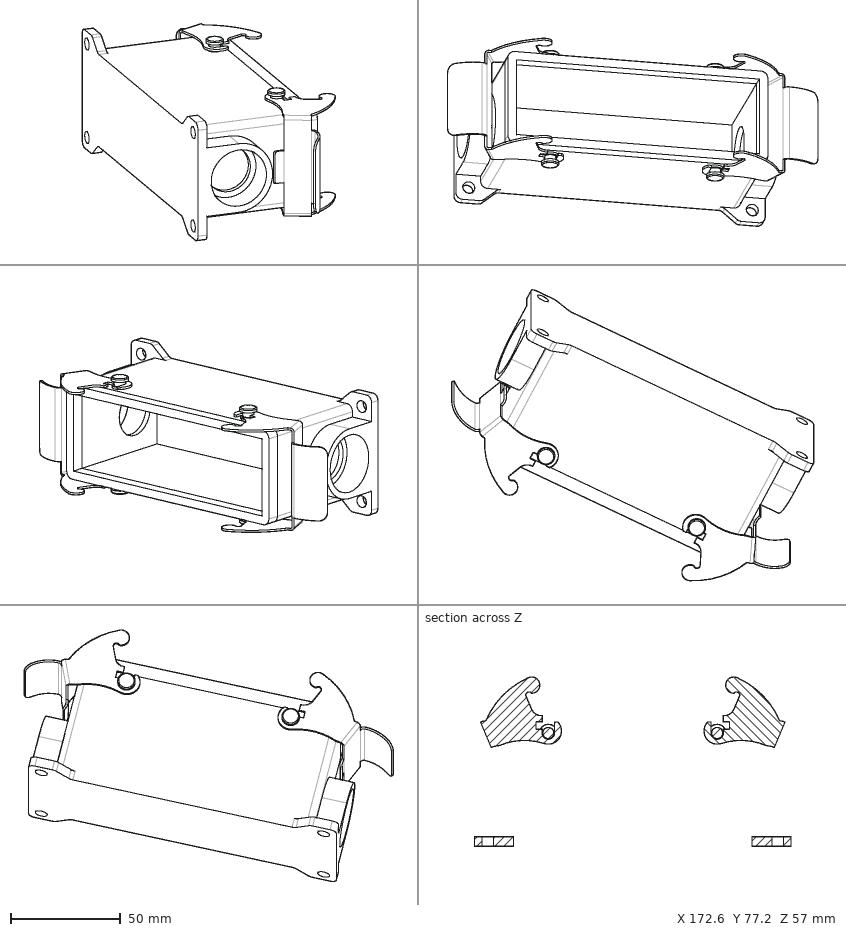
import cadquery as cq
import math


BODY_LENGTH = 121.0
BODY_WIDTH = 44.5
BODY_CORNER = 3.25
BODY_TOP = 57.0
FRAME_TOP = 63.0
WALL = 4.0
CAVITY_LENGTH = BODY_LENGTH - 2 * WALL
CAVITY_WIDTH = BODY_WIDTH - 2 * WALL

FLANGE_LENGTH = 144.0
FLANGE_WIDTH = 57.0
FLANGE_THICKNESS = 4.5
FLANGE_ROUND = 3.0
EAR_TIP_X = 59.8
EAR_ROOT_X = 52.3
MOUNT_PITCH_X = 132.0
MOUNT_PITCH_Z = 45.0
MOUNT_HOLE = 5.5

ENTRY_Y = 20.0
ENTRY_RADIUS = 16.5
ENTRY_BORE = 27.0
ENTRY_BORE_DEPTH = 13.0
ENTRY_HOLE = 21.5

STUD_X = 38.4
STUD_Y = 51.6
COLLAR_DIAMETER = 7.0
NECK_DIAMETER = 5.17
HEAD_DIAMETER = 8.0
HEAD_CHAMFER = 0.5
HEAD_BOTTOM = 25.75
HEAD_TOP = 27.4

SHEET = 1.0
LEVER_WIDTH = 48.5
LEVER_OUTER_Z = LEVER_WIDTH / 2
LEVER_INNER_Z = LEVER_OUTER_Z - SHEET
BEND_RADIUS = 1.75
PIVOT_SLOT = 5.5

WEB_LEAN = 22.8
WEB_LENGTH = 12.6
LEAN = math.radians(WEB_LEAN)
WEB_FOOT = (-63.4, 45.4)
WEB_HEAD = (WEB_FOOT[0] - WEB_LENGTH * math.sin(LEAN), WEB_FOOT[1] + WEB_LENGTH * math.cos(LEAN))

GRIP_WIDTH = 35.0
GRIP_CORNER = 4.0
GRIP_BEND_RADIUS = 2.3
GRIP_BEND_ANGLE = 67.0
GRIP_ARC_RADIUS = 19.29
GRIP_ARC_ANGLE = 48.0
TAB_WIDTH = 15.4
TAB_CORNER = 1.0
TAB_ARC_RADIUS = 5.2
TAB_ARC_ANGLE = 55.0

HOOK_CENTER = (-46.0, 73.4)
HOOK_RADIUS = 3.75
HOOK_BACK_ANGLE = 120.0
BACK_START = (WEB_HEAD[0] + 1.4, WEB_HEAD[1] + 0.2)
BACK_MIDDLE = (-59.5, 68.4)
THROAT_MIDDLE = (-48.3, 69.7)
THROAT_END = (-48.6, 68.6)
NECK_CURVE = [(-46.3, 63.2), (-44.8, 60.8), (-42.4, 59.6)]
LOWER_CURVE = [(-60.6, 45.9), (-52.5, 48.0), (-44.0, 47.7)]
LUG_RADIUS = 6.0
LUG_CENTER = (-STUD_X, STUD_Y + 0.9)
LUG_START_ANGLE = -105.0
LUG_TOP = 56.7
SLOT_LEFT = -STUD_X - PIVOT_SLOT / 2
RELIEF_LENGTH = 2.8
RELIEF_BOTTOM = 53.4


def plan(y):
    """Workplane normal to +Y at height y; its local axes are X and -Z."""
    return cq.Workplane("XZ", origin=(0, y, 0)).transformed(rotate=(180, 0, 0))


def rounded_tube(bottom, top):
    """Rectangular tube with the outline and cavity of the housing."""
    outer = plan(bottom).rect(BODY_LENGTH, BODY_WIDTH).extrude(top - bottom)
    outer = outer.edges("|Y").fillet(BODY_CORNER)
    cavity = plan(bottom).rect(CAVITY_LENGTH, CAVITY_WIDTH).extrude(top - bottom)
    return outer.cut(cavity)


def flange():
    half_length = FLANGE_LENGTH / 2
    half_width = FLANGE_WIDTH / 2
    waist = BODY_WIDTH / 2
    quarter = [
        (half_length, half_width),
        (EAR_TIP_X, half_width),
        (EAR_ROOT_X, waist),
    ]
    upper = quarter + [(-x, z) for x, z in reversed(quarter)]
    lower = [(-x, -z) for x, z in upper]
    plate = plan(0).polyline(upper + lower).close().extrude(FLANGE_THICKNESS)
    plate = plate.edges("|Y").fillet(FLANGE_ROUND)
    holes = plan(0).rect(MOUNT_PITCH_X, MOUNT_PITCH_Z, forConstruction=True).vertices()
    return plate.cut(holes.circle(MOUNT_HOLE / 2).extrude(FLANGE_THICKNESS))


def entry_boss():
    """U-shaped boss from the end wall at +X, standing on the flange."""
    length = (FLANGE_LENGTH - BODY_LENGTH) / 2 + WALL
    start = FLANGE_LENGTH / 2 - length
    plane = cq.Workplane("YZ", origin=(start, ENTRY_Y, 0))
    return (
        plane.moveTo(-ENTRY_Y, -ENTRY_RADIUS)
        .lineTo(0, -ENTRY_RADIUS)
        .threePointArc((ENTRY_RADIUS, 0), (0, ENTRY_RADIUS))
        .lineTo(-ENTRY_Y, ENTRY_RADIUS)
        .close()
        .extrude(length)
    )


def entry_bore():
    """Stepped passage through the boss at +X into the cavity."""
    plane = cq.Workplane("YZ", origin=(FLANGE_LENGTH / 2, ENTRY_Y, 0))
    bore = plane.circle(ENTRY_BORE / 2).extrude(-ENTRY_BORE_DEPTH)
    passage = plane.circle(ENTRY_HOLE / 2).extrude(CAVITY_LENGTH / 2 - FLANGE_LENGTH / 2)
    return bore.union(passage)


def stud():
    """Pivot stud on the +Z wall at -X."""
    wall = BODY_WIDTH / 2
    base = cq.Workplane("XY", origin=(-STUD_X, STUD_Y, wall))
    collar = base.circle(COLLAR_DIAMETER / 2).extrude(LEVER_INNER_Z - wall)
    neck = base.circle(NECK_DIAMETER / 2).extrude(HEAD_BOTTOM - wall)
    head = (
        base.workplane(offset=HEAD_BOTTOM - wall)
        .circle(HEAD_DIAMETER / 2)
        .extrude(HEAD_TOP - HEAD_BOTTOM)
        .faces(">Z")
        .chamfer(HEAD_CHAMFER)
    )
    return collar.union(neck).union(head)


def make_housing():
    body = rounded_tube(FLANGE_THICKNESS, BODY_TOP)
    floor = plan(0).rect(CAVITY_LENGTH, CAVITY_WIDTH).extrude(FLANGE_THICKNESS)
    body = body.union(flange()).union(floor)
    boss = entry_boss()
    body = body.union(boss).union(boss.mirror("YZ"))
    bore = entry_bore()
    body = body.cut(bore).cut(bore.mirror("YZ"))
    left_studs = stud().union(stud().mirror("XY"))
    return body.union(left_studs).union(left_studs.mirror("YZ"))


def make_frame():
    return rounded_tube(BODY_TOP, FRAME_TOP)


def point_on_circle(center, radius, degrees):
    angle = math.radians(degrees)
    return center[0] + radius * math.cos(angle), center[1] + radius * math.sin(angle)


def strip_bend(center, radius, start_angle, end_angle, width):
    """One bend of a sheet strip, centered on Z = 0; radius is to mid-thickness."""
    inner = radius - SHEET / 2
    outer = radius + SHEET / 2
    middle_angle = (start_angle + end_angle) / 2
    return (
        cq.Workplane("XY")
        .moveTo(*point_on_circle(center, inner, start_angle))
        .threePointArc(
            point_on_circle(center, inner, middle_angle),
            point_on_circle(center, inner, end_angle),
        )
        .lineTo(*point_on_circle(center, outer, end_angle))
        .threePointArc(
            point_on_circle(center, outer, middle_angle),
            point_on_circle(center, outer, start_angle),
        )
        .close()
        .extrude(width / 2, both=True)
    )


def bent_strip(start, heading, bends, width, corner):
    """Sheet strip of consecutive bends with rounded free corners.

    start is a point at mid-thickness and heading its direction in degrees; each
    bend is (radius, turn angle), with left turns positive.
    """
    tip = start
    pieces = []
    for radius, turn in bends:
        to_center = heading + math.copysign(90, turn)
        center = point_on_circle(tip, radius, to_center)
        start_angle = to_center + 180
        pieces.append(strip_bend(center, radius, start_angle, start_angle + turn, width))
        tip = point_on_circle(center, radius, start_angle + turn)
        heading += turn
    strip = pieces[0]
    for piece in pieces[1:]:
        strip = strip.union(piece)
    for z in (-width / 2, width / 2):
        free_corner = cq.selectors.NearestToPointSelector((*tip, z))
        strip = strip.edges(free_corner).fillet(corner)
    return strip


def hook_outline():
    """Closed outline of the hook plate, from the web foot around to the web head."""
    lug_top_angle = math.degrees(math.asin((LUG_TOP - LUG_CENTER[1]) / LUG_RADIUS))
    lug_tip = point_on_circle(LUG_CENTER, LUG_RADIUS, lug_top_angle)
    lug_middle = point_on_circle(LUG_CENTER, LUG_RADIUS, (LUG_START_ANGLE + lug_top_angle) / 2)
    return (
        cq.Workplane("XY", origin=(0, 0, LEVER_INNER_Z))
        .moveTo(*WEB_FOOT)
        .lineTo(*LOWER_CURVE[0])
        .threePointArc(*LOWER_CURVE[1:])
        .lineTo(*point_on_circle(LUG_CENTER, LUG_RADIUS, LUG_START_ANGLE))
        .threePointArc(lug_middle, lug_tip)
        .lineTo(SLOT_LEFT, LUG_TOP)
        .lineTo(SLOT_LEFT, NECK_CURVE[2][1])
        .lineTo(*NECK_CURVE[2])
        .threePointArc(NECK_CURVE[1], NECK_CURVE[0])
        .lineTo(*THROAT_END)
        .threePointArc(THROAT_MIDDLE, point_on_circle(HOOK_CENTER, HOOK_RADIUS, -90))
        .threePointArc(
            point_on_circle(HOOK_CENTER, HOOK_RADIUS, 0),
            point_on_circle(HOOK_CENTER, HOOK_RADIUS, HOOK_BACK_ANGLE),
        )
        .threePointArc(BACK_MIDDLE, BACK_START)
        .lineTo(*WEB_HEAD)
        .close()
    )


def pivot_slot():
    """Round-bottomed slot, open at the lug top, with the relief at its side."""
    half_slot = PIVOT_SLOT / 2
    relief_left = SLOT_LEFT - RELIEF_LENGTH
    slot = (
        cq.Workplane("XY", origin=(0, 0, LEVER_INNER_Z))
        .moveTo(SLOT_LEFT, STUD_Y)
        .threePointArc((-STUD_X, STUD_Y - half_slot), (-STUD_X + half_slot, STUD_Y))
        .lineTo(-STUD_X + half_slot, LUG_TOP)
        .lineTo(relief_left, LUG_TOP)
        .lineTo(relief_left, RELIEF_BOTTOM)
        .lineTo(SLOT_LEFT, RELIEF_BOTTOM)
        .close()
    )
    return slot.extrude(SHEET)


def hook_plate():
    """Flat side plate of the lever at +Z."""
    return hook_outline().extrude(SHEET).cut(pivot_slot())


def web():
    """U-shaped channel whose bent edges end at the bend lines of the hook plates."""
    inner_radius = BEND_RADIUS - SHEET
    flat_edge = LEVER_OUTER_Z - BEND_RADIUS
    channel = (
        plan(0)
        .moveTo(0, LEVER_OUTER_Z)
        .radiusArc((-BEND_RADIUS, flat_edge), -BEND_RADIUS)
        .lineTo(-BEND_RADIUS, -flat_edge)
        .radiusArc((0, -LEVER_OUTER_Z), -BEND_RADIUS)
        .lineTo(0, -LEVER_INNER_Z)
        .radiusArc((-inner_radius, -flat_edge), inner_radius)
        .lineTo(-inner_radius, flat_edge)
        .radiusArc((0, LEVER_INNER_Z), inner_radius)
        .close()
        .extrude(WEB_LENGTH)
    )
    return channel.rotate((0, 0, 0), (0, 0, 1), WEB_LEAN).translate((*WEB_FOOT, 0))


def make_lever():
    """Lever on the -X side."""
    inset = BEND_RADIUS - SHEET / 2
    foot = point_on_circle(WEB_FOOT, inset, 180 + WEB_LEAN)
    head = point_on_circle(WEB_HEAD, inset, 180 + WEB_LEAN)
    grip_bends = [(GRIP_BEND_RADIUS, GRIP_BEND_ANGLE), (GRIP_ARC_RADIUS, GRIP_ARC_ANGLE)]
    tab_bends = [(TAB_ARC_RADIUS, -TAB_ARC_ANGLE)]
    grip = bent_strip(head, WEB_LEAN + 90, grip_bends, GRIP_WIDTH, GRIP_CORNER)
    tab = bent_strip(foot, WEB_LEAN - 90, tab_bends, TAB_WIDTH, TAB_CORNER)
    plate = hook_plate()
    return web().union(plate).union(plate.mirror("XY")).union(grip).union(tab)


housing = make_housing()
frame = make_frame()
left_lever = make_lever()
right_lever = left_lever.mirror("YZ")

result = cq.Compound.makeCompound([housing.val(), frame.val(), left_lever.val(), right_lever.val()])